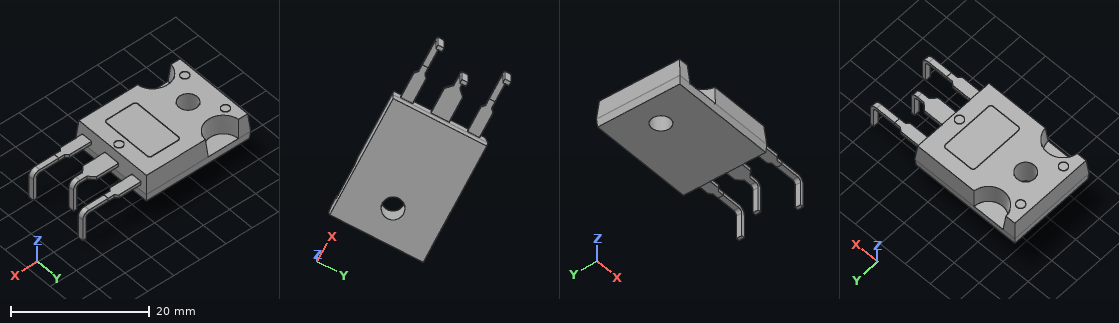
import cadquery as cq
import math


BLOCK_LENGTH = 20.0
BLOCK_WIDTH = 15.6
BLOCK_HEIGHT = 5.0
PARTING_HEIGHT = 1.5
DRAFT_ANGLE = 5.0
DRAFT_SLOPE = math.tan(math.radians(DRAFT_ANGLE))

HOLE_X = 5.25
HOLE_DIAMETER = 3.43
NOTCH_TOP_RADIUS = 3.18

MARK_DEPTH = 0.1
EJECTOR_DIAMETER = 1.5
LEFT_EJECTOR_X = 2.0
LEFT_EJECTOR_Y = 4.5
RIGHT_EJECTOR_X = 18.48
LABEL_LEFT_X = 11.0
LABEL_LENGTH = 6.0
LABEL_WIDTH = 9.98
LABEL_CORNER_RADIUS = 0.5

LEAD_PITCH = 5.48
LEAD_THICKNESS = 0.65
LEAD_TOP_Z = 3.1
LEAD_BOTTOM_Z = LEAD_TOP_Z - LEAD_THICKNESS
LEAD_TIP_Z = -2.42
LEAD_NARROW_WIDTH = 1.0
OUTER_LEAD_WIDE_WIDTH = 2.0
CENTRE_LEAD_WIDE_WIDTH = 3.0
LEAD_ROOT_DEPTH = 0.92
LEAD_ROOT_X = BLOCK_LENGTH - LEAD_ROOT_DEPTH
LEAD_SHOULDER_X = 24.08
BEND_OUTER_RADIUS = 1.25
BEND_INNER_RADIUS = BEND_OUTER_RADIUS - LEAD_THICKNESS
JOINT_X = 25.73
CENTRE_LEAD_END_X = 27.63
OUTER_LEAD_END_X = 30.6


def drafted_slab(start_z, height):
    """Slab with the full block outline at start_z, tapering inward over a signed height."""
    return (
        cq.Workplane("XY", origin=(BLOCK_LENGTH / 2, 0, start_z))
        .rect(BLOCK_LENGTH, BLOCK_WIDTH)
        .extrude(height, taper=DRAFT_ANGLE)
    )


def clip_notch(edge_y):
    """Cone centred on a long edge, wide at the top and ending at the parting line."""
    height = BLOCK_HEIGHT - PARTING_HEIGHT
    floor_radius = NOTCH_TOP_RADIUS - height * DRAFT_SLOPE
    cone = cq.Solid.makeCone(floor_radius, NOTCH_TOP_RADIUS, height)
    return cone.translate(cq.Vector(HOLE_X, edge_y, PARTING_HEIGHT))


def top_marks():
    """Cutters for the label recess and the round ejector marks."""
    floor = cq.Workplane("XY", origin=(0, 0, BLOCK_HEIGHT - MARK_DEPTH))
    label = (
        floor.center(LABEL_LEFT_X + LABEL_LENGTH / 2, 0)
        .rect(LABEL_LENGTH, LABEL_WIDTH)
        .extrude(MARK_DEPTH)
        .edges("|Z")
        .fillet(LABEL_CORNER_RADIUS)
    )
    ejector_points = [
        (LEFT_EJECTOR_X, LEFT_EJECTOR_Y),
        (LEFT_EJECTOR_X, -LEFT_EJECTOR_Y),
        (RIGHT_EJECTOR_X, 0),
    ]
    ejectors = floor.pushPoints(ejector_points).circle(EJECTOR_DIAMETER / 2).extrude(MARK_DEPTH)
    return label.union(ejectors)


def moulded_block():
    lower = drafted_slab(PARTING_HEIGHT, -PARTING_HEIGHT)
    upper = drafted_slab(PARTING_HEIGHT, BLOCK_HEIGHT - PARTING_HEIGHT)
    block = lower.union(upper)
    for side in (-1, 1):
        block = block.cut(cq.Workplane(clip_notch(side * BLOCK_WIDTH / 2)))
    hole = cq.Workplane("XY").center(HOLE_X, 0).circle(HOLE_DIAMETER / 2).extrude(BLOCK_HEIGHT)
    return block.cut(hole).cut(top_marks())


def lead_root(y, wide_width):
    """Flat stretch from inside the block to the joint, narrowing through 45 degree shoulders."""
    wide = wide_width / 2
    narrow = LEAD_NARROW_WIDTH / 2
    narrow_x = LEAD_SHOULDER_X + wide - narrow
    return (
        cq.Workplane("XY", origin=(0, y, LEAD_BOTTOM_Z))
        .moveTo(LEAD_ROOT_X, -wide)
        .lineTo(LEAD_SHOULDER_X, -wide)
        .lineTo(narrow_x, -narrow)
        .lineTo(JOINT_X, -narrow)
        .lineTo(JOINT_X, narrow)
        .lineTo(narrow_x, narrow)
        .lineTo(LEAD_SHOULDER_X, wide)
        .lineTo(LEAD_ROOT_X, wide)
        .close()
        .extrude(LEAD_THICKNESS)
    )


def lead_end(y, end_x):
    """Narrow strip from the joint, bent down through a quarter turn to the tip."""
    bend_x = end_x - BEND_OUTER_RADIUS
    bend_z = LEAD_TOP_Z - BEND_OUTER_RADIUS
    inner_x = end_x - LEAD_THICKNESS
    return (
        cq.Workplane("XZ", origin=(0, y, 0))
        .moveTo(JOINT_X, LEAD_TOP_Z)
        .lineTo(bend_x, LEAD_TOP_Z)
        .radiusArc((end_x, bend_z), BEND_OUTER_RADIUS)
        .lineTo(end_x, LEAD_TIP_Z)
        .lineTo(inner_x, LEAD_TIP_Z)
        .lineTo(inner_x, bend_z)
        .radiusArc((bend_x, LEAD_BOTTOM_Z), -BEND_INNER_RADIUS)
        .lineTo(JOINT_X, LEAD_BOTTOM_Z)
        .close()
        .extrude(LEAD_NARROW_WIDTH / 2, both=True)
    )


def centre_lead():
    """Centre lead in one piece, without a joint line."""
    return lead_root(0, CENTRE_LEAD_WIDE_WIDTH).union(lead_end(0, CENTRE_LEAD_END_X)).clean()


outer_lead_places = (-LEAD_PITCH, LEAD_PITCH)

package = moulded_block().union(centre_lead())
for place in outer_lead_places:
    package = package.union(lead_root(place, OUTER_LEAD_WIDE_WIDTH))

outer_lead_ends = [lead_end(place, OUTER_LEAD_END_X).val() for place in outer_lead_places]

result = cq.Compound.makeCompound([package.val(), *outer_lead_ends])